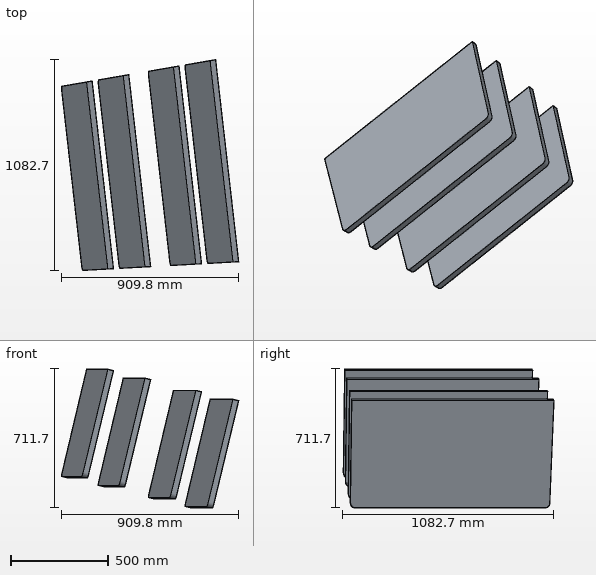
import cadquery as cq
import math

plate_thickness = 30.0
plate_height = 566.0
first_length = 952.0
corner_radius = 24.0
outer_gap = 196.0
middle_gap = 269.0
lean = 13.5
turn = 6.5
end_splay = 3.3

plate_offsets = [0, outer_gap, outer_gap + middle_gap, 2 * outer_gap + middle_gap]
row_depth = plate_offsets[-1] + plate_thickness


def make_trim_wedge():
    """Space between the end planes, in the frame where the plates stand upright."""
    reach = row_depth + plate_height
    half_first = first_length / 2
    spread = reach * math.tan(math.radians(end_splay))
    near_half = half_first - spread
    far_half = half_first + spread
    outline = [(-reach, -near_half), (reach, -far_half), (reach, far_half), (-reach, near_half)]
    wedge = cq.Workplane("XY").polyline(outline).close().extrude(2 * reach, both=True)
    return wedge.rotate((0, 0, 0), (0, 1, 0), -lean)


def make_plate(offset, wedge):
    """One plate with slanted ends and rounded lower corners, leaned into place."""
    slab_length = 2 * first_length
    slab = (
        cq.Workplane("XY")
        .box(plate_thickness, slab_length, plate_height, centered=(False, True, False))
        .translate((offset, 0, 0))
    )
    plate = slab.intersect(wedge)
    plate = plate.faces("<Z").edges("not |Y").fillet(corner_radius)
    leaned = plate.rotate((0, 0, 0), (0, 1, 0), lean)
    return leaned.rotate((0, 0, 0), (0, 0, 1), turn)


trim_wedge = make_trim_wedge()
plates = [make_plate(offset, trim_wedge) for offset in plate_offsets]

result = cq.Compound.makeCompound([plate.val() for plate in plates])